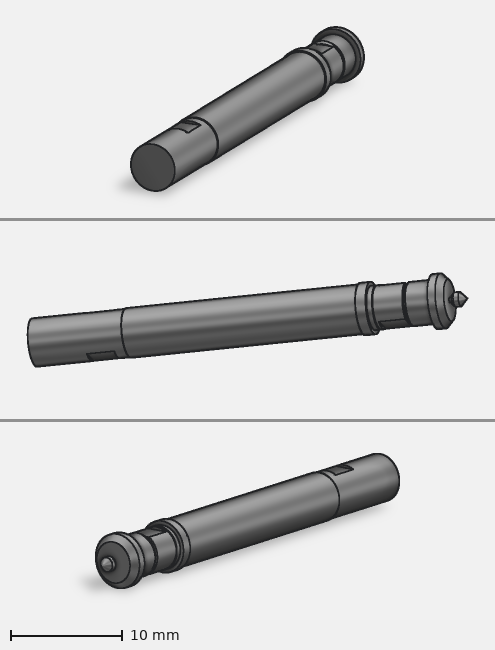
import cadquery as cq

LENGTH = 40.6

TIP_DIAMETER = 1.35
TIP_BACK_DIAMETER = 0.8
NECK_DIAMETER = 0.5
HEAD_DIAMETER = 5.0
PLUNGER_DIAMETER = 4.0
RELIEF_DIAMETER = 3.57
COLLAR_DIAMETER = 4.75
BARREL_DIAMETER = 4.5
TAIL_DIAMETER = 4.4

TIP_RADIUS = TIP_DIAMETER / 2
TIP_BACK_RADIUS = TIP_BACK_DIAMETER / 2
NECK_RADIUS = NECK_DIAMETER / 2
HEAD_RADIUS = HEAD_DIAMETER / 2
PLUNGER_RADIUS = PLUNGER_DIAMETER / 2
RELIEF_RADIUS = RELIEF_DIAMETER / 2
COLLAR_RADIUS = COLLAR_DIAMETER / 2
BARREL_RADIUS = BARREL_DIAMETER / 2
TAIL_RADIUS = TAIL_DIAMETER / 2

TAIL_END = 8.75
BARREL_END = 30.77
COLLAR_END = 31.75
SLEEVE_START = 32.25
SLEEVE_END = 35.08
PLUNGER_END = 37.6
HEAD_FRONT = 38.95

HEAD_CHAMFER = 0.6
TIP_BAND = 0.5
PLUNGER_CHAMFER = PLUNGER_RADIUS - RELIEF_RADIUS
RELIEF_LENGTH = 0.305
SLEEVE_CHAMFER = 0.1
BARREL_CHAMFER = BARREL_RADIUS - TAIL_RADIUS

SLEEVE_ACROSS_FLATS = 3.45
SLEEVE_FLAT_START = 32.6
TAIL_ACROSS_FLATS = 3.9
TAIL_FLAT_START = 5.2
TAIL_FLAT_END = 7.75


def turned_body():
    """Revolve the stepped half outline, given as (radius, Y), about the Y axis."""
    tip_base = LENGTH - TIP_RADIUS
    band_back = tip_base - TIP_BAND
    tip_back = band_back - (TIP_RADIUS - TIP_BACK_RADIUS)
    outline = [
        (0, 0),
        (TAIL_RADIUS, 0),
        (TAIL_RADIUS, TAIL_END),
        (BARREL_RADIUS, TAIL_END + BARREL_CHAMFER),
        (BARREL_RADIUS, BARREL_END),
        (COLLAR_RADIUS, BARREL_END),
        (COLLAR_RADIUS, COLLAR_END),
        (PLUNGER_RADIUS, COLLAR_END),
        (PLUNGER_RADIUS, SLEEVE_START),
        (PLUNGER_RADIUS - SLEEVE_CHAMFER, SLEEVE_START),
        (PLUNGER_RADIUS, SLEEVE_START + SLEEVE_CHAMFER),
        (PLUNGER_RADIUS, SLEEVE_END),
        (RELIEF_RADIUS, SLEEVE_END),
        (RELIEF_RADIUS, SLEEVE_END + RELIEF_LENGTH - PLUNGER_CHAMFER),
        (PLUNGER_RADIUS, SLEEVE_END + RELIEF_LENGTH),
        (PLUNGER_RADIUS, PLUNGER_END),
        (HEAD_RADIUS, PLUNGER_END),
        (HEAD_RADIUS, HEAD_FRONT - HEAD_CHAMFER),
        (HEAD_RADIUS - HEAD_CHAMFER, HEAD_FRONT),
        (NECK_RADIUS, HEAD_FRONT),
        (NECK_RADIUS, tip_back),
        (TIP_BACK_RADIUS, tip_back),
        (TIP_RADIUS, band_back),
        (TIP_RADIUS, tip_base),
        (0, LENGTH),
    ]
    return cq.Workplane("XY").polyline(outline).close().revolve(360, (0, 0, 0), (0, 1, 0))


def cut_flats(body, across_flats, start, end):
    """Mill two parallel flats, across_flats apart and centred on the axis, from start to end."""
    cutter_size = HEAD_DIAMETER
    for side in (1, -1):
        cutter = cq.Workplane("XY").box(cutter_size, end - start, cutter_size)
        cutter_height = side * (across_flats + cutter_size) / 2
        body = body.cut(cutter.translate((0, (start + end) / 2, cutter_height)))
    return body


result = turned_body()
result = cut_flats(result, SLEEVE_ACROSS_FLATS, SLEEVE_FLAT_START, SLEEVE_END)
result = cut_flats(result, TAIL_ACROSS_FLATS, TAIL_FLAT_START, TAIL_FLAT_END)